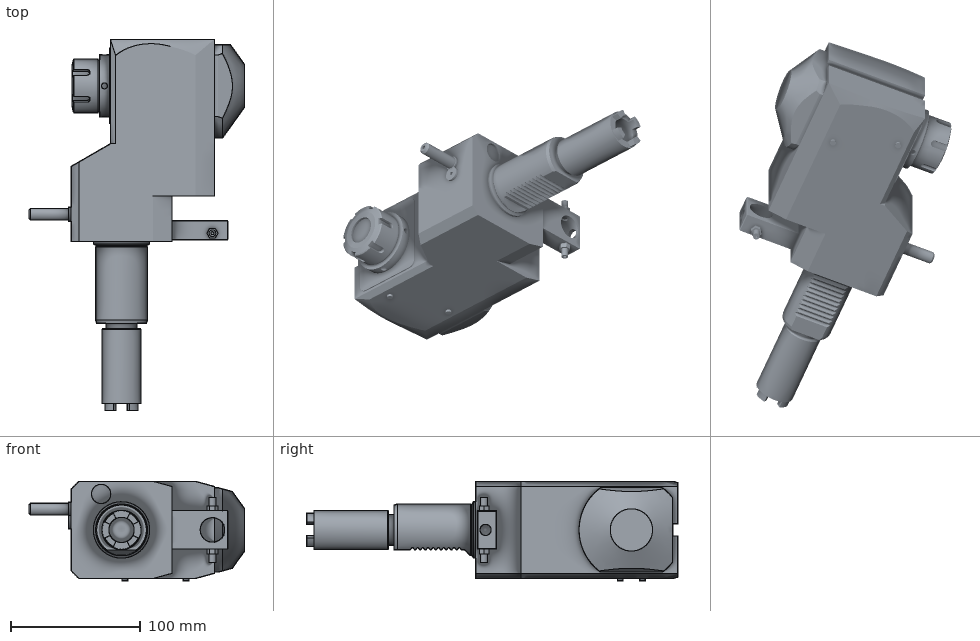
import cadquery as cq
import math


half_height = 37.5
foot_half_width = 39.0
foot_depth = 35.2
head_left = -8.5
head_right = 71.8
head_back = 156.0
ramp_start = 58.0
ramp_angle = 30
foot_bevel = 6.0
head_bevel = 4.0
side_bevel_width = 14.5
side_bevel_drop = 4.0
crown_start = 143.7
crown_peak_x = 17.2
crown_peak_rise = 3.0
crown_knee_x = 37.2
crown_knee_rise = 2.3
key_slot_width = 9.2
key_slot_depth = 3.7

barrel_radius = 20.0
barrel_end = 63.0
barrel_tip_length = 2.5
barrel_tip_step = 1.0
flange_radius = 21.8
flange_thickness = 1.7
relief_depth = 0.5
relief_start = 3.0
relief_end = 3.5
relief_runout = 4.0
flat_offset = 15.5
flat_start = 8.3
rack_first = 12.5
rack_pitch = 4.0
rack_count = 10
rack_depth = 1.7
rack_half_mouth = 1.7
rack_half_root = 0.3
neck_radius = 12.0
drive_start = 67.0
drive_radius = 15.2
drive_tooth_radius = 14.3
drive_end = 130.2
drive_bevel_step = 0.5
drive_bevel_length = 1.0
claw_depth = 5.5
claw_count = 4
claw_half_angle = 26
drive_bore_radius = 9.7
drive_bore_depth = 34.4

spindle_y = 120.2
pad_width = 58.0
pad_height = 63.0
pad_thickness = 1.0
pad_corner = 5.7
ring_radius = 24.0
ring_front = -17.0
ring_hole_radius = 2.3
ring_hole_depth = 3.0
ring_hole_count = 4
groove_radius = 20.0
nut_radius = 21.0
nut_back = -18.3
nut_front = -38.5
nut_rim_radius = 15.2
nut_cone_length = 1.1
nut_edge_length = 0.5
nut_edge_step = 1.0
nut_bore_radius = 10.5
nut_bore_depth = 2.0
wrench_slot_count = 6
wrench_slot_width = 5.2
wrench_slot_length = 14.0
wrench_slot_depth = 3.0
cap_radius = 40.5
cap_tip_radius = 16.3
cap_rim_end = 78.0
cap_tip = 95.0
cap_back = 152.0
cap_half_height = 32.5
cap_slope_start = 74.5

arm_half_height = 15.0
arm_front = 1.5
arm_back = 16.3
arm_end = 82.2
arm_edge_bevel = 0.5
arm_x = 70.0
arm_bore_radius = 9.5
arm_outlet_radius = 4.3
arm_outlet_y = 7.7
screw_y = 6.5
screw_radius = 2.5
screw_top = 25.2
screw_socket_radius = 1.1
screw_socket_depth = 1.7
screw_hole_depth = 1.5
hex_nut_across_corners = 8.5
hex_nut_thickness = 3.7

pin_y = 21.2
pin_z = 16.0
pin_radius = 4.5
pin_end = -71.5
pin_bevel = 1.5
socket_radius = 1.5
socket_depth = 1.7
pin_collar_radius = 5.5
collar_thickness = 2.0
plug_z = 6.3
face_recess_x = -15.7
face_recess_z = 27.8
face_recess_radius = 7.5
face_recess_depth = 1.7
button_radius = 2.3
button_height = 1.7
button_places = [(2.5, 128.8), (49.8, 111.5)]

overlap = 1.5
clear = 171.8


def cylinder(start, direction, radius, length):
    return cq.Workplane(cq.Solid.makeCylinder(radius, length, cq.Vector(*start), cq.Vector(*direction)))


def box(x_range, y_range, z_range):
    size = [high - low for low, high in (x_range, y_range, z_range)]
    return cq.Workplane().box(*size, centered=False).translate((x_range[0], y_range[0], z_range[0]))


def bevelled_section(left, right, bevel, y_back):
    """Bar along Y from the mounting face, with 45 degree bevels on -X and shallow ones on +X."""
    h = half_height
    points = [
        (left + bevel, h),
        (right - side_bevel_width, h),
        (right, h - side_bevel_drop),
        (right, side_bevel_drop - h),
        (right - side_bevel_width, -h),
        (left + bevel, -h),
        (left, bevel - h),
        (left, h - bevel),
    ]
    return cq.Workplane("XZ").polyline(points).close().extrude(-y_back)


def crown_wire(y, left, right, edge_height):
    """Section with crowned top and bottom; flats carry the crown ends out past the head."""
    peak = edge_height + crown_peak_rise
    knee = edge_height + crown_knee_rise
    outline = (
        cq.Workplane("XZ", origin=(0, y, 0))
        .moveTo(-clear, edge_height)
        .lineTo(left, edge_height)
        .threePointArc((crown_peak_x, peak), (crown_knee_x, knee))
        .lineTo(right, edge_height)
        .lineTo(clear, edge_height)
        .lineTo(clear, -edge_height)
        .lineTo(right, -edge_height)
        .lineTo(crown_knee_x, -knee)
        .threePointArc((crown_peak_x, -peak), (left, -edge_height))
        .lineTo(-clear, -edge_height)
        .close()
    )
    return outline.val()


def make_head():
    head = bevelled_section(head_left, head_right, head_bevel, head_back)
    head = head.cut(box((-clear, clear), (-clear, foot_depth), (-clear, clear)))
    inner_left = head_left + head_bevel
    inner_right = head_right - side_bevel_width
    front_wire = crown_wire(crown_start, inner_left, inner_right, half_height)
    back_wire = crown_wire(head_back, head_left, head_right, half_height - side_bevel_drop)
    crown = cq.Workplane(cq.Solid.makeLoft([front_wire, back_wire], True))
    plain = box((-clear, clear), (0, crown_start), (-clear, clear))
    head = head.intersect(crown).union(head.intersect(plain))
    slot_half = key_slot_width / 2
    slot = box((-clear, clear), (head_back - key_slot_depth, clear), (-slot_half, slot_half))
    return head.cut(slot)


def make_foot():
    ramp_run = head_left + foot_half_width
    ramp_top = ramp_start + ramp_run * math.tan(math.radians(ramp_angle))
    plan = (
        cq.Workplane("XY", origin=(0, 0, -half_height))
        .moveTo(-foot_half_width, 0)
        .lineTo(foot_half_width, 0)
        .lineTo(foot_half_width, foot_depth)
        .lineTo(head_left + head_bevel, foot_depth)
        .lineTo(head_left + head_bevel, ramp_top)
        .lineTo(head_left, ramp_top)
        .lineTo(-foot_half_width, ramp_start)
        .close()
        .extrude(2 * half_height)
    )
    return plan.intersect(bevelled_section(-foot_half_width, foot_half_width, foot_bevel, head_back))


def make_shank():
    """Turned shank and drive sleeve, pointing along -Y."""
    profile = [
        (0, overlap),
        (flange_radius, overlap),
        (flange_radius, -flange_thickness),
        (barrel_radius - relief_depth, -relief_start),
        (barrel_radius - relief_depth, -relief_end),
        (barrel_radius, -relief_runout),
        (barrel_radius, barrel_tip_length - barrel_end),
        (barrel_radius - barrel_tip_step, -barrel_end),
        (neck_radius, -barrel_end),
        (neck_radius, -drive_start),
        (drive_radius - drive_bevel_step, -drive_start),
        (drive_radius, -drive_start - drive_bevel_length),
        (drive_radius, claw_depth - drive_end),
        (drive_tooth_radius, claw_depth - drive_end),
        (drive_tooth_radius, -drive_end),
        (0, -drive_end),
    ]
    shank = cq.Workplane("XY").polyline(profile).close().revolve(360, (0, 0), (0, 1))
    return cut_drive_end(cut_rack(shank))


def cut_rack(shank):
    """Flat under the barrel, run in at 45 degrees, with V grooves across it."""
    drop = clear - flat_offset
    flat = (
        cq.Workplane("YZ")
        .moveTo(-flat_start, -flat_offset)
        .lineTo(-barrel_end, -flat_offset)
        .lineTo(-barrel_end, -clear)
        .lineTo(drop - flat_start, -clear)
        .close()
        .extrude(clear, both=True)
    )
    beyond_flange = box((-clear, clear), (-barrel_end, -relief_end), (-clear, clear))
    shank = shank.cut(flat.intersect(beyond_flange))
    for index in range(rack_count):
        center = -rack_first - index * rack_pitch
        groove = (
            cq.Workplane("YZ")
            .moveTo(center - rack_half_mouth, -flat_offset)
            .lineTo(center - rack_half_root, rack_depth - flat_offset)
            .lineTo(center + rack_half_root, rack_depth - flat_offset)
            .lineTo(center + rack_half_mouth, -flat_offset)
            .close()
            .extrude(clear, both=True)
        )
        shank = shank.cut(groove)
    return shank


def cut_drive_end(shank):
    """Bore the sleeve and cut wedge gaps that leave the driving claws."""
    shank = shank.cut(cylinder((0, -drive_end, 0), (0, 1, 0), drive_bore_radius, drive_bore_depth))
    reach = 2 * drive_radius
    spread = reach * math.tan(math.radians(claw_half_angle))
    gap = (
        cq.Workplane("XZ", origin=(0, claw_depth - drive_end, 0))
        .polyline([(0, 0), (spread, reach), (-spread, reach)])
        .close()
        .extrude(claw_depth)
    )
    for index in range(claw_count):
        shank = shank.cut(gap.rotate((0, 0, 0), (0, 1, 0), index * 360 / claw_count))
    return shank


def make_nose():
    """Mounting pad, ring and collet nut on the spindle axis, pointing along -X."""
    pad = (
        cq.Workplane("YZ", origin=(head_left - pad_thickness, spindle_y, 0))
        .rect(pad_width, pad_height)
        .extrude(pad_thickness + overlap)
        .edges("|X")
        .fillet(pad_corner)
    )
    profile = [
        (head_left, 0),
        (head_left, ring_radius),
        (ring_front, ring_radius),
        (ring_front, groove_radius),
        (nut_back, groove_radius),
        (nut_back, nut_radius),
        (nut_front + nut_cone_length + nut_edge_length, nut_radius),
        (nut_front + nut_cone_length, nut_radius - nut_edge_step),
        (nut_front, nut_rim_radius),
        (nut_front, 0),
    ]
    nose = cq.Workplane("XY").polyline(profile).close().revolve(360, (0, 0), (1, 0))
    nose = nose.cut(cylinder((nut_front, 0, 0), (1, 0, 0), nut_bore_radius, nut_bore_depth))

    slot_floor = nut_radius - wrench_slot_depth
    slot_half = wrench_slot_width / 2
    straight_end = nut_front + wrench_slot_length - slot_half
    slot = box((nut_front, straight_end), (-slot_half, slot_half), (slot_floor, ring_radius))
    slot_end = cylinder((straight_end, 0, slot_floor), (0, 0, 1), slot_half, wrench_slot_depth + overlap)
    slot = slot.union(slot_end)
    for index in range(wrench_slot_count):
        angle = 90 + index * 360 / wrench_slot_count
        nose = nose.cut(slot.rotate((0, 0, 0), (1, 0, 0), angle))

    ring_middle = (ring_front + head_left - pad_thickness) / 2
    hole_floor = ring_radius - ring_hole_depth
    hole = cylinder((ring_middle, 0, hole_floor), (0, 0, 1), ring_hole_radius, ring_hole_depth + overlap)
    for index in range(ring_hole_count):
        nose = nose.cut(hole.rotate((0, 0, 0), (1, 0, 0), index * 360 / ring_hole_count))
    return pad.union(nose.translate((0, spindle_y, 0)))


def make_cap():
    """Conical rear cap, trimmed parallel to the side bevels of the head and by a flat at the back."""
    profile = [
        (head_right - overlap, 0),
        (head_right - overlap, cap_radius),
        (cap_rim_end, cap_radius),
        (cap_tip, cap_tip_radius),
        (cap_tip, 0),
    ]
    cap = cq.Workplane("XY").polyline(profile).close().revolve(360, (0, 0), (1, 0))
    cap = cap.translate((0, spindle_y, 0))
    tip_half_height = cap_half_height - (cap_tip - cap_slope_start) * side_bevel_drop / side_bevel_width
    envelope = (
        cq.Workplane("XZ", origin=(0, cap_back, 0))
        .moveTo(head_right - overlap, cap_half_height)
        .lineTo(cap_slope_start, cap_half_height)
        .lineTo(cap_tip, tip_half_height)
        .lineTo(cap_tip, -tip_half_height)
        .lineTo(cap_slope_start, -cap_half_height)
        .lineTo(head_right - overlap, -cap_half_height)
        .close()
        .extrude(clear)
    )
    return cap.intersect(envelope)


def make_arm():
    """Arm beside the foot with a through bore, an end outlet and a screw with hex nut above and below."""
    arm = box(
        (foot_half_width - overlap, arm_end),
        (arm_front, arm_back),
        (-arm_half_height, arm_half_height),
    )
    arm = arm.faces(">X").edges().chamfer(arm_edge_bevel)
    arm = arm.cut(cylinder((arm_x, 0, 0), (0, 1, 0), arm_bore_radius, clear))
    arm = arm.cut(cylinder((arm_x, arm_outlet_y, 0), (1, 0, 0), arm_outlet_radius, clear))
    hole_top = arm_bore_radius + screw_hole_depth
    arm = arm.cut(cylinder((arm_x, screw_y, -hole_top), (0, 0, 1), screw_radius, 2 * hole_top))
    hex_nut = (
        cq.Workplane("XY", origin=(arm_x, screw_y, arm_half_height))
        .polygon(6, hex_nut_across_corners)
        .extrude(hex_nut_thickness)
    )
    screw_length = screw_top - arm_half_height
    screw = cylinder((arm_x, screw_y, arm_half_height), (0, 0, 1), screw_radius, screw_length)
    screw = screw.cut(
        cylinder((arm_x, screw_y, screw_top), (0, 0, -1), screw_socket_radius, screw_socket_depth)
    )
    fastener = hex_nut.union(screw)
    return arm.union(fastener).union(fastener.mirror("XY"))


def make_pin():
    """Collared pin and the socket-head plug below it on the left wall of the foot."""
    wall = -foot_half_width
    collar_length = collar_thickness + overlap
    pin = cylinder((wall, pin_y, pin_z), (-1, 0, 0), pin_radius, wall - pin_end)
    pin = pin.faces("<X").chamfer(pin_bevel)
    pin = pin.cut(cylinder((pin_end, pin_y, pin_z), (1, 0, 0), socket_radius, socket_depth))
    collar_start = wall - collar_thickness
    collar = cylinder((collar_start, pin_y, pin_z), (1, 0, 0), pin_collar_radius, collar_length)
    plug = cylinder((collar_start, pin_y, plug_z), (1, 0, 0), pin_collar_radius, collar_length)
    socket = cylinder((collar_start, pin_y, plug_z), (1, 0, 0), socket_radius, socket_depth)
    return pin.union(collar).union(plug.cut(socket))


def add_buttons(body):
    for x, y in button_places:
        bottom = -half_height - button_height
        body = body.union(cylinder((x, y, bottom), (0, 0, 1), button_radius, button_height + overlap))
    return body


housing = make_head().union(make_foot())
recess = cylinder((face_recess_x, 0, face_recess_z), (0, 1, 0), face_recess_radius, face_recess_depth)
housing = add_buttons(housing.cut(recess))

result = housing
for attached in (make_shank(), make_nose(), make_cap(), make_arm(), make_pin()):
    result = result.union(attached)